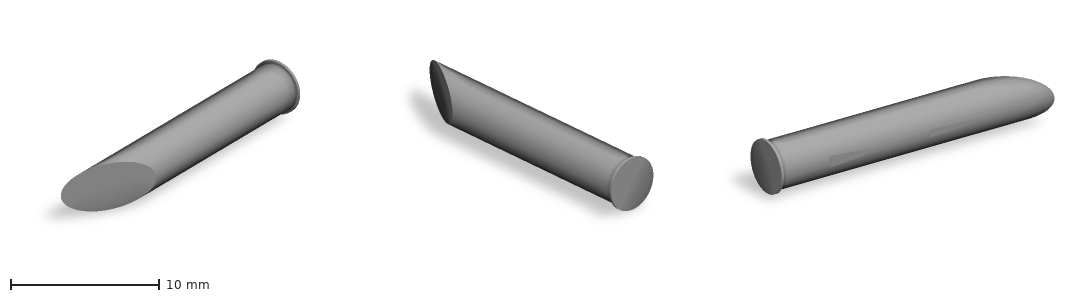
import cadquery as cq
import math

length = 22.0
pin_radius = 3.5 / 2
flange_radius = 3.9 / 2
flange_thickness = 0.2
tip_angle = 60.0

rear_ramp = {"wall_top": 3.98, "wall_foot": 4.11, "run_out": 7.52, "depth": 0.053}
front_ramp = {"wall_top": 12.0, "wall_foot": 12.03, "run_out": 16.0, "depth": 0.026}

clearance = 0.22


def rod(radius, rod_length):
    """Cylinder running forward (-Y) from the back end at Y = 0."""
    return cq.Workplane("XZ").circle(radius).extrude(rod_length)


def tip_cutter():
    """Prism that removes the slanted tip, leaving its point on the -X side."""
    slope = math.tan(math.radians(tip_angle))
    outer_x = pin_radius + clearance
    outer_y = -length + (outer_x + pin_radius) * slope
    return (
        cq.Workplane("XY")
        .moveTo(-pin_radius, -length)
        .lineTo(outer_x, outer_y)
        .lineTo(outer_x, -length)
        .close()
        .extrude(outer_x, both=True)
    )


def ramp_cutter(wall_top, wall_foot, run_out, depth):
    """Prism with a steep rear wall and a flat floor that rises forward to the surface."""
    surface_x = -pin_radius
    outer_x = surface_x - clearance
    return (
        cq.Workplane("XY")
        .moveTo(outer_x, -wall_top)
        .lineTo(surface_x, -wall_top)
        .lineTo(surface_x + depth, -wall_foot)
        .lineTo(surface_x, -run_out)
        .lineTo(outer_x, -run_out)
        .close()
        .extrude(pin_radius, both=True)
    )


pin = rod(pin_radius, length).cut(tip_cutter())
result = pin.union(rod(flange_radius, flange_thickness))
for ramp in (rear_ramp, front_ramp):
    result = result.cut(ramp_cutter(**ramp))